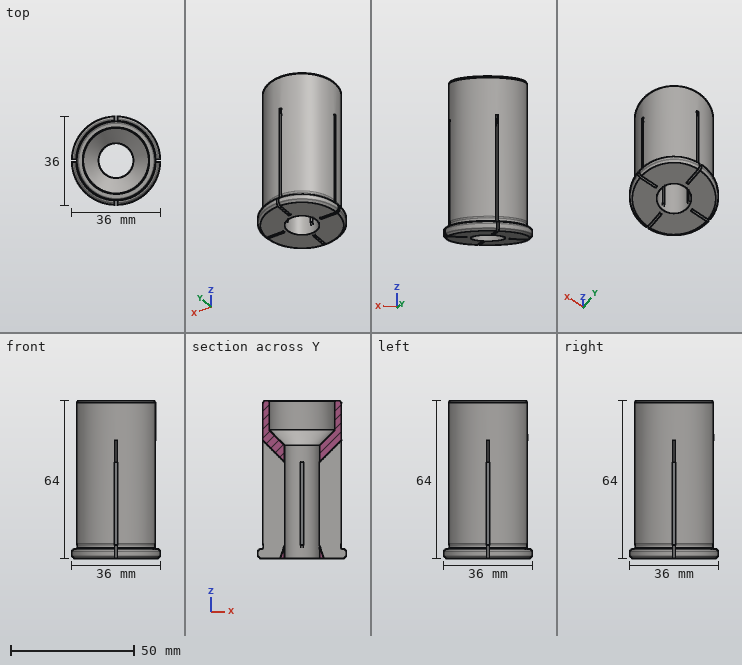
import cadquery as cq

length = 64.0
body_radius = 16.0
top_chamfer_height = 0.8
top_chamfer_width = 0.6
top_fillet = 0.3

flange_radius = 18.0
flange_top = 4.0
upper_bevel_width = 0.95
upper_bevel_height = 0.9
lower_bevel = 1.1
rim_fillet = 0.25
bevel_fillet = 0.45

select_margin = 0.05

neck_radius = 15.8
neck_top = 5.6
neck_taper_height = 0.7
neck_foot = 0.4

socket_radius = 26.5 / 2
socket_floor = 52.15
socket_chamfer = 0.3
bore_radius = 14.0 / 2
seat_bottom = socket_floor - (socket_radius - bore_radius)

slot_count = 4
slot_width = 1.0
slot_top = 48.0
slot_end_low = neck_top
slot_bottom_run = 1.9
slot_reach = 19.2


def make_sleeve():
    """Revolve the half section of the outside; the bore is cut separately."""
    outline = (
        cq.Workplane("XZ")
        .moveTo(0, 0)
        .lineTo(flange_radius - lower_bevel, 0)
        .lineTo(flange_radius, lower_bevel)
        .lineTo(flange_radius, flange_top - upper_bevel_height)
        .lineTo(flange_radius - upper_bevel_width, flange_top)
        .lineTo(neck_radius + neck_foot, flange_top)
        .lineTo(neck_radius, flange_top + neck_foot)
        .lineTo(neck_radius, neck_top)
        .lineTo(body_radius, neck_top + neck_taper_height)
        .lineTo(body_radius, length - top_chamfer_height)
        .lineTo(body_radius - top_chamfer_width, length)
        .lineTo(0, length)
        .close()
    )
    sleeve = outline.revolve(360, (0, 0, 0), (0, 1, 0))
    largest_circle = cq.selectors.RadiusNthSelector(-1)
    flange_face = cq.selectors.BoxSelector(
        (-length, -length, flange_top - select_margin),
        (length, length, flange_top + select_margin),
    )
    sleeve = sleeve.edges("%CIRCLE").edges(largest_circle).fillet(rim_fillet)
    sleeve = sleeve.edges("%CIRCLE").edges(flange_face).edges(largest_circle).fillet(bevel_fillet)
    return sleeve.faces(">Z").edges().fillet(top_fillet)


def make_bore():
    """Through bore, conical seat and chamfered socket as one solid."""
    return (
        cq.Workplane("XZ")
        .moveTo(0, 0)
        .lineTo(bore_radius, 0)
        .lineTo(bore_radius, seat_bottom)
        .lineTo(socket_radius, socket_floor)
        .lineTo(socket_radius, length - socket_chamfer)
        .lineTo(socket_radius + socket_chamfer, length)
        .lineTo(0, length)
        .close()
        .revolve(360, (0, 0, 0), (0, 1, 0))
    )


def make_slot():
    """Slot along +X; its top end drops at 45 degrees from the outside to the bore."""
    top_at_bore = slot_top - (body_radius - bore_radius)
    top_at_axis = top_at_bore - bore_radius
    return (
        cq.Workplane("XZ")
        .moveTo(bore_radius + slot_bottom_run, 0)
        .lineTo(slot_reach, 0)
        .lineTo(slot_reach, top_at_axis + slot_reach)
        .lineTo(bore_radius, top_at_bore)
        .lineTo(0, top_at_bore)
        .lineTo(0, slot_end_low)
        .lineTo(bore_radius, slot_end_low)
        .close()
        .extrude(slot_width / 2, both=True)
    )


result = make_sleeve().cut(make_bore())
slot = make_slot()
for index in range(slot_count):
    angle = index * 360 / slot_count
    result = result.cut(slot.rotate((0, 0, 0), (0, 0, 1), angle))